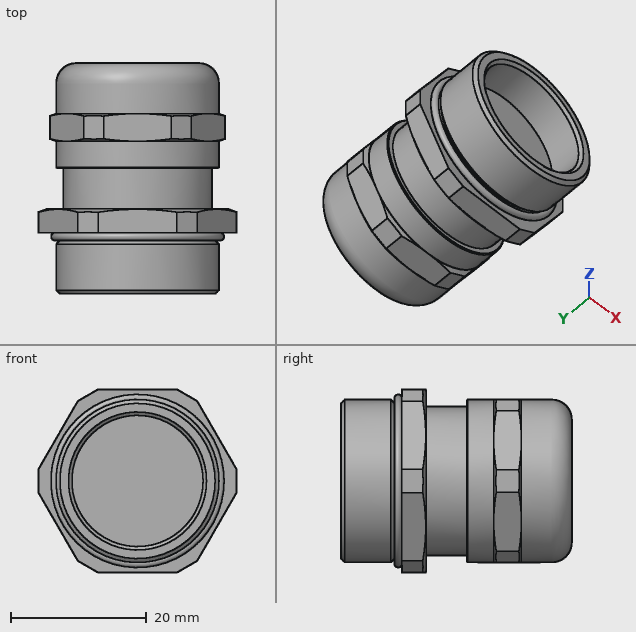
import cadquery as cq
import math


total_length = 34.0
thread_end = 7.35
flange_start = 8.98
flange_end = 12.58
collar_start = 18.5
cap_hex_start = 22.5
cap_hex_end = 26.52

thread_radius = 12.0
thread_chamfer = 0.58
groove_radius = 11.45
neck_radius = 10.98
cap_radius = 12.0
collar_chamfer = 0.17
dome_radius = 3.0

ring_radius = 12.75
ring_section_radius = 0.58
ring_squash = 0.05

flange_across_flats = 27.0
flange_corner_reach = 14.6
flange_bevel_radius = 13.2
cap_hex_across_flats = 24.0
cap_hex_corner_reach = 12.9
cap_hex_bevel_radius = 12.07
bevel_angle = 20.0
bevel_overhang = 3.4

bore_radius = 9.65
bore_depth = 6.12
bore_chamfer = 0.5


def revolve_about_axis(half_profile):
    """Revolve a closed (radius, Y) half profile about the Y axis."""
    return half_profile.close().revolve(360, (0, 0, 0), (0, 1, 0))


def cylinder(radius, start, end):
    """Solid cylinder on the Y axis between two stations."""
    return cq.Workplane("XZ", origin=(0, start, 0)).circle(radius).extrude(start - end)


def hexagon(across_flats, start, end, turn=0.0):
    """Hexagonal prism along Y; without a turn its corners point along +X and -X."""
    corner_diameter = across_flats / math.cos(math.pi / 6)
    prism = cq.Workplane("XZ", origin=(0, start, 0)).polygon(6, corner_diameter).extrude(start - end)
    return prism.rotate((0, 0, 0), (0, 1, 0), turn)


def trimmed_hexagon(across_flats, corner_reach, start, end):
    """Hexagon whose six corners are cut flat at the corner reach."""
    corner_trim = hexagon(2 * corner_reach, start, end, turn=30.0)
    return hexagon(across_flats, start, end).intersect(corner_trim)


def bevel_cone(bevel_radius, end, start, both_ends):
    """Turned envelope that bevels the hexagon at its end, or at both ends."""
    bevel_run = bevel_overhang * math.tan(math.radians(bevel_angle))
    outer_radius = bevel_radius + bevel_overhang
    profile = cq.Workplane("XY").moveTo(0, end).lineTo(bevel_radius, end)
    profile = profile.lineTo(outer_radius, end - bevel_run)
    if both_ends:
        profile = profile.lineTo(outer_radius, start + bevel_run).lineTo(bevel_radius, start)
    else:
        profile = profile.lineTo(outer_radius, start)
    return revolve_about_axis(profile.lineTo(0, start))


def make_threaded_body():
    """Threaded spigot, sealing groove and neck turned as one piece."""
    groove_chamfer = thread_radius - groove_radius
    profile = (
        cq.Workplane("XY")
        .lineTo(thread_radius - thread_chamfer, 0)
        .lineTo(thread_radius, thread_chamfer)
        .lineTo(thread_radius, thread_end)
        .lineTo(groove_radius, thread_end + groove_chamfer)
        .lineTo(groove_radius, flange_start)
        .lineTo(neck_radius, flange_start)
        .lineTo(neck_radius, collar_start)
        .lineTo(0, collar_start)
    )
    return revolve_about_axis(profile)


def make_sealing_ring():
    """Round-section ring pressed slightly into the flange face."""
    center_radius = ring_radius - ring_section_radius
    center_y = flange_start - ring_section_radius + ring_squash
    section = cq.Workplane("XY").center(center_radius, center_y).circle(ring_section_radius)
    return section.revolve(360, (-center_radius, 0, 0), (-center_radius, 1, 0))


def make_flange():
    """Body hexagon, beveled on the side facing the cap."""
    prism = trimmed_hexagon(flange_across_flats, flange_corner_reach, flange_start, flange_end)
    return prism.intersect(bevel_cone(flange_bevel_radius, flange_end, flange_start, both_ends=False))


def make_cap():
    """Domed round cap with a hexagon around its middle."""
    dome = cylinder(cap_radius, collar_start, total_length)
    dome = dome.faces(">Y").edges().fillet(dome_radius)
    dome = dome.faces("<Y").edges().chamfer(collar_chamfer)
    prism = trimmed_hexagon(cap_hex_across_flats, cap_hex_corner_reach, cap_hex_start, cap_hex_end)
    prism = prism.intersect(bevel_cone(cap_hex_bevel_radius, cap_hex_end, cap_hex_start, both_ends=True))
    return dome.union(prism)


def make_bore():
    """Blind bore with a chamfered mouth."""
    profile = (
        cq.Workplane("XY")
        .lineTo(bore_radius + bore_chamfer, 0)
        .lineTo(bore_radius, bore_chamfer)
        .lineTo(bore_radius, bore_depth)
        .lineTo(0, bore_depth)
    )
    return revolve_about_axis(profile)


result = (
    make_threaded_body()
    .union(make_sealing_ring())
    .union(make_flange())
    .union(make_cap())
    .cut(make_bore())
)